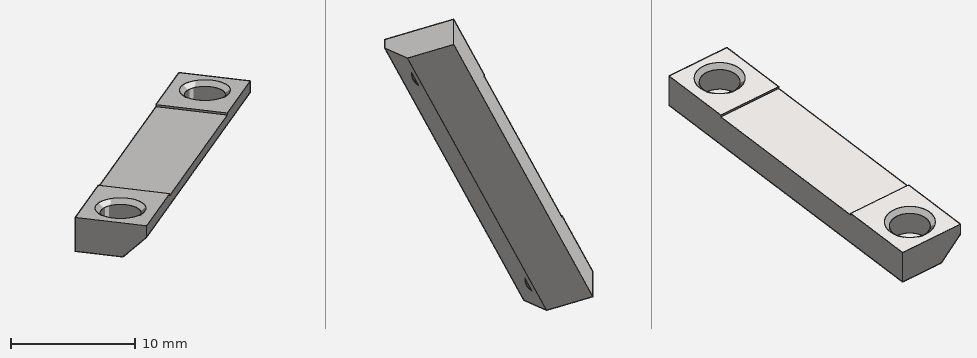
import cadquery as cq

width = 6.0
length = 30.0
height = 3.0
bevel = 1.98

pad_length = 6.65
recess_depth = 0.18

hole_diameter = 3.3
hole_floor = 0.6
hole_end_distance = 2.8
countersink_diameter = 4.1
countersink_depth = (countersink_diameter - hole_diameter) / 2

disc_bottom = 0.45

hole_offset = length / 2 - hole_end_distance
hole_centers = [(0, -hole_offset), (0, hole_offset)]


def make_bar():
    bar = cq.Workplane("XY").box(width, length, height, centered=(True, True, False))
    return bar.edges("|Y and >X and <Z").chamfer(bevel)


def make_recess():
    recess_length = length - 2 * pad_length
    return (
        cq.Workplane("XY")
        .workplane(offset=height - recess_depth)
        .box(width, recess_length, recess_depth, centered=(True, True, False))
    )


def make_cylinders(bottom, top):
    return (
        cq.Workplane("XY")
        .workplane(offset=bottom)
        .pushPoints(hole_centers)
        .circle(hole_diameter / 2)
        .extrude(top - bottom)
    )


def make_countersink(center):
    cone = cq.Solid.makeCone(
        hole_diameter / 2,
        countersink_diameter / 2,
        countersink_depth,
        pnt=cq.Vector(*center, height - countersink_depth),
    )
    return cq.Workplane(obj=cone)


result = make_bar().cut(make_recess())
result = result.union(make_cylinders(disc_bottom, hole_floor))
result = result.cut(make_cylinders(hole_floor, height))
for hole_center in hole_centers:
    result = result.cut(make_countersink(hole_center))